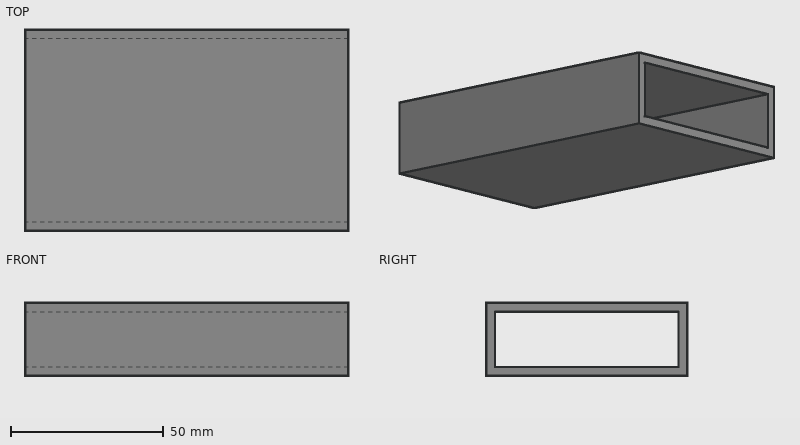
import cadquery as cq

length = 106.0
width = 66.0
height = 24.0
wall = 3.0

outer_body = cq.Workplane("XY").box(length, width, height)
bore = cq.Workplane("XY").box(length, width - 2 * wall, height - 2 * wall)

result = outer_body.cut(bore)